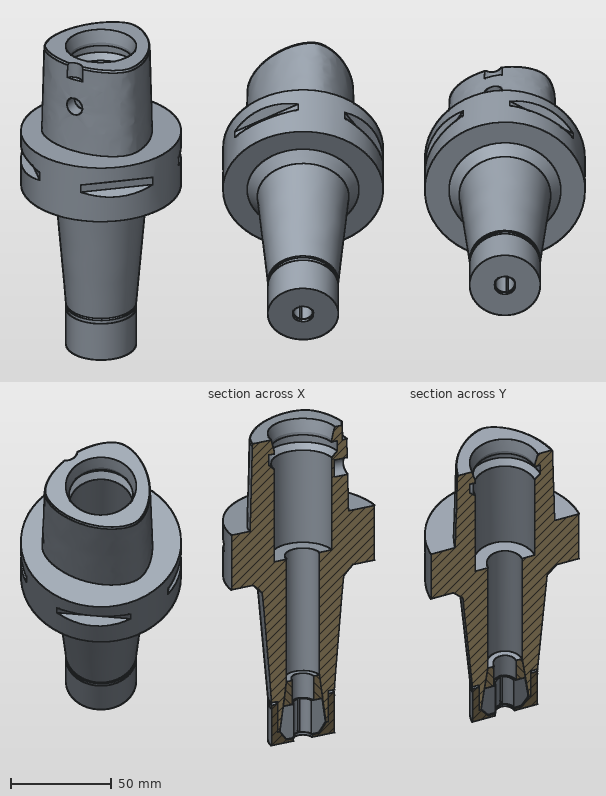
import cadquery as cq
import math

overall_height = 168.0
flange_top = 120.3
flange_bottom = 90.0
neck_top = 85.0
neck_bottom = 23.5
nut_top = 22.3
nut_band_bottom = 20.5
bore_floor = 100.8
collet_top = 33.6
nose_bottom = 6.7
collet_bottom = 1.7

flange_radius = 40.0
neck_top_radius = 22.8
neck_bottom_radius = 17.6
flare_radius = neck_top_radius + flange_bottom - neck_top
nose_radius = 14.1

lobe_mean_radius = 27.5
lobe_height = 2.0
lobe_taper = 1 / 40
lobe_points = 60
lobe_chamfer_width = 0.5
lobe_chamfer_height = 1.2

mouth_radius = 17.6
bore_radius = 16.0
mouth_depth = 6.5
lip_depth = 8.2
groove_radius = 19.0
groove_depth = 13.6
groove_end_depth = groove_depth + groove_radius - bore_radius
passage_radius = 9.0

notch_radius = 5.7
notch_centre_y = -27.7
notch_depth = 8.0
hole_radius = 4.5
hole_height = 145.0
hole_bottom_y = -17.6

slot_count = 4
slot_height = 108.0
slot_floor_distance = 35.5
slot_floor_width = 4.0
slot_mouth_width = 8.7

collet_radius = 12.8
collet_front_radius = 9.0
collet_bore_radius = 4.9
collet_back_bore_radius = 5.9
collet_back_bore_depth = 13.5
slit_count = 4
slit_width = 1.2

nut_radius = 17.6
nut_opening_radius = 5.2
nut_band_step = 0.08
nut_band_radius = nut_radius - nut_band_step


def revolved(profile):
    """Solid of revolution about Z from (radius, height) points."""
    return cq.Workplane("XZ").polyline(profile).close().revolve(360, (0, 0, 0), (0, 1, 0))


def lobe_outline(mean_radius, height):
    """Closed constant-width three-lobed wire with one lobe on +Y, starting from the -Y side."""

    def point(index):
        angle = 2 * math.pi * index / lobe_points - math.pi / 2
        phase = 3 * (angle - math.pi / 2)
        support = mean_radius + lobe_height * math.cos(phase)
        slope = -3 * lobe_height * math.sin(phase)
        x = support * math.cos(angle) - slope * math.sin(angle)
        y = support * math.sin(angle) + slope * math.cos(angle)
        return cq.Vector(x, y, height)

    points = [point(i) for i in range(lobe_points)]
    return cq.Wire.assembleEdges([cq.Edge.makeSpline(points, periodic=True)])


def lobe_section(bottom, top, bottom_radius, top_radius):
    """Tapered three-lobed length between two heights."""
    outlines = [lobe_outline(bottom_radius, bottom), lobe_outline(top_radius, top)]
    return cq.Workplane(cq.Solid.makeLoft(outlines, True))


def lobed_shank():
    """Three-lobed shank on the flange, chamfered at its top edge."""
    chamfer_start = overall_height - lobe_chamfer_height
    end_radius = lobe_mean_radius - lobe_taper * (chamfer_start - flange_top)
    body = lobe_section(flange_top, chamfer_start, lobe_mean_radius, end_radius)
    chamfer = lobe_section(chamfer_start, overall_height, end_radius, end_radius - lobe_chamfer_width)
    return body.union(chamfer)


def holder_outside():
    """Nose, neck, flange and three-lobed shank without bores."""
    turned = revolved([
        (0, nose_bottom),
        (nose_radius, nose_bottom),
        (nose_radius, neck_bottom),
        (neck_bottom_radius, neck_bottom),
        (neck_top_radius, neck_top),
        (flare_radius, flange_bottom),
        (flange_radius, flange_bottom),
        (flange_radius, flange_top),
        (0, flange_top),
    ])
    return turned.union(lobed_shank())


def holder_bore():
    """Stepped bore from the top face down to the tapered collet seat."""
    return revolved([
        (0, overall_height),
        (mouth_radius, overall_height),
        (bore_radius, overall_height - mouth_depth),
        (bore_radius, overall_height - lip_depth),
        (groove_radius, overall_height - lip_depth),
        (groove_radius, overall_height - groove_depth),
        (bore_radius, overall_height - groove_end_depth),
        (bore_radius, bore_floor),
        (passage_radius, bore_floor),
        (passage_radius, collet_top),
        (collet_radius, nose_bottom),
        (0, nose_bottom),
    ])


def key_notch():
    """Round-backed notch open to the top face and the -Y side."""
    return (
        cq.Workplane("XY", origin=(0, notch_centre_y, overall_height - notch_depth))
        .circle(notch_radius)
        .extrude(notch_depth)
    )


def side_hole():
    """Flat-bottomed blind hole from the -Y side."""
    return (
        cq.Workplane("XZ", origin=(0, hole_bottom_y, hole_height))
        .circle(hole_radius)
        .extrude(flange_radius)
    )


def gripper_slots():
    """Straight slots with sloping walls, one across each diagonal of the flange."""
    depth = flange_radius - slot_floor_distance
    slot = (
        cq.Workplane("XZ")
        .polyline([
            (slot_floor_distance, slot_height - slot_floor_width / 2),
            (slot_floor_distance + depth, slot_height - slot_mouth_width / 2),
            (slot_floor_distance + depth, slot_height + slot_mouth_width / 2),
            (slot_floor_distance, slot_height + slot_floor_width / 2),
        ])
        .close()
        .extrude(flange_radius, both=True)
    )
    step = 360 / slot_count
    slots = cq.Workplane()
    for i in range(slot_count):
        slots = slots.add(slot.rotate((0, 0, 0), (0, 0, 1), step * (i + 0.5)))
    return slots.combine()


def make_holder():
    """Tool holder with its bore, notch, side hole and gripper slots."""
    holder = holder_outside().cut(holder_bore())
    return holder.cut(key_notch()).cut(side_hole()).cut(gripper_slots())


def collet_slit(step_height):
    """Radial slit through the front of the collet wall on the +X side."""
    return (
        cq.Workplane("XY")
        .center(collet_radius / 2, 0)
        .rect(collet_radius, slit_width)
        .extrude(step_height)
    )


def make_collet():
    """Double-tapered collet with a wider bore at its back end and slits from its front end."""
    step_height = collet_top - collet_back_bore_depth
    collet = revolved([
        (collet_bore_radius, collet_bottom),
        (collet_front_radius, collet_bottom),
        (collet_radius, nose_bottom),
        (passage_radius, collet_top),
        (collet_back_bore_radius, collet_top),
        (collet_back_bore_radius, step_height),
        (collet_bore_radius, step_height),
    ])
    slit = collet_slit(step_height)
    for i in range(slit_count):
        collet = collet.cut(slit.rotate((0, 0, 0), (0, 0, 1), i * 360 / slit_count))
    return collet


def make_nut():
    """Nut around the holder nose, with a front lip under the collet and a shallow band at its top rim."""
    return revolved([
        (nut_opening_radius, 0),
        (nut_radius, 0),
        (nut_radius, nut_band_bottom),
        (nut_band_radius, nut_band_bottom),
        (nut_band_radius, nut_top),
        (nose_radius, nut_top),
        (nose_radius, nose_bottom),
        (collet_radius, nose_bottom),
        (collet_front_radius, collet_bottom),
        (nut_opening_radius, collet_bottom),
    ])


holder = make_holder()
collet = make_collet()
nut = make_nut()

result = cq.Compound.makeCompound([holder.solids().val(), collet.solids().val(), nut.val()])